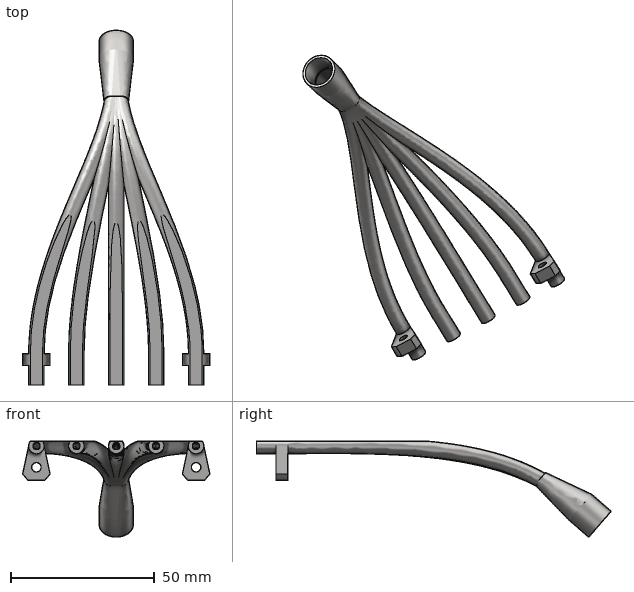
import cadquery as cq
import math

TOTAL_LENGTH = 123.3
TOTAL_WIDTH = 65.1
TOTAL_HEIGHT = 33.4

TUBE_COUNT = 5
TUBE_DIA = 5.4
BORE_DIA = 2.5
FLAT_Z = 1.7
STRAIGHT_LENGTH = 11.0

MEETING_Y = 105.2
MEETING_Z = -15.8
MEETING_PITCH = 0.44
MEETING_TILT = 36.0
OUTLET_PULL = 30.2
OUTLET_PULL_GAIN = 1.7
MEETING_PULL = 29.6

SOCKET_DIA = 12.0
SOCKET_BORE_DIA = 10.1
SOCKET_LENGTH = 9.0
SOCKET_TILT = 41.0
JOINT_Y = 98.6
JOINT_Z = -11.3
JOINT_HEIGHT = 5.7
JOINT_WIDTH = 8.6
SEAM_WIDTH = 0.7
CHAMBER_WIDE_DIA = 9.2
CHAMBER_NARROW_DIA = 4.5
CHAMBER_OVERLAP = 0.6

LUG_THICKNESS = 4.2
LUG_WIDTH = 9.6
LUG_FOOT_WIDTH = 5.8
LUG_SHOULDER_Z = -9.7
LUG_FOOT_Z = -12.0
LUG_HOLE_DIA = 3.2
LUG_HOLE_Z = -7.4

TUBE_PITCH = (TOTAL_WIDTH - LUG_WIDTH) / (TUBE_COUNT - 1)

socket_angle = math.radians(SOCKET_TILT)
socket_axis = cq.Vector(0, math.cos(socket_angle), -math.sin(socket_angle))
socket_end = cq.Vector(
    0,
    TOTAL_LENGTH - SOCKET_DIA / 2 * math.sin(socket_angle),
    FLAT_Z - TOTAL_HEIGHT + SOCKET_DIA / 2 * math.cos(socket_angle),
)
socket_start = socket_end - socket_axis * SOCKET_LENGTH
joint = cq.Vector(0, JOINT_Y, JOINT_Z)
tube_numbers = [i - (TUBE_COUNT - 1) / 2 for i in range(TUBE_COUNT)]


def socket_plane(origin):
    """Plane square to the socket axis, with its local X along the part's X."""
    return cq.Plane(origin=origin, xDir=(1, 0, 0), normal=socket_axis)


def swept_tube(number, diameter):
    """Round rod along the axis of one tube; number 0 is the middle tube."""
    outlet = cq.Vector(number * TUBE_PITCH, 0, 0)
    bend_start = outlet + cq.Vector(0, STRAIGHT_LENGTH, 0)
    bend_end = cq.Vector(number * MEETING_PITCH, MEETING_Y, MEETING_Z)
    angle = math.radians(MEETING_TILT)
    end_direction = cq.Vector(0, math.cos(angle), -math.sin(angle))
    outlet_pull = OUTLET_PULL + OUTLET_PULL_GAIN * number**2
    controls = [
        bend_start,
        bend_start + cq.Vector(0, outlet_pull, 0),
        bend_end - end_direction * MEETING_PULL,
        bend_end,
    ]
    path = cq.Wire.assembleEdges([
        cq.Edge.makeLine(outlet, bend_start),
        cq.Edge.makeBezier(controls),
    ])
    section = cq.Workplane("XZ", origin=outlet.toTuple()).circle(diameter / 2)
    return section.sweep(cq.Workplane(path))


def round_ended_outline(plane, half_flat, half_width, half_height, bulge):
    """Outline of two round ends joined by strips that rise by bulge at their middle."""
    edge_height = half_height - bulge
    outline = cq.Workplane(plane).moveTo(-half_flat, edge_height)
    for side in (1, -1):
        strip_end = (side * half_flat, side * edge_height)
        if bulge:
            outline = outline.threePointArc((0, side * half_height), strip_end)
        else:
            outline = outline.lineTo(*strip_end)
        round_end = (side * half_flat, -side * edge_height)
        outline = outline.threePointArc((side * half_width, 0), round_end)
    return outline.close().val()


def transition():
    """Skewed taper from the row of tubes to the round socket."""
    joint_flat = (JOINT_WIDTH - JOINT_HEIGHT) / 2
    narrow = round_ended_outline(
        socket_plane(joint), joint_flat, JOINT_WIDTH / 2, JOINT_HEIGHT / 2, 0
    )
    radius = SOCKET_DIA / 2
    bulge = radius - math.sqrt(radius**2 - (SEAM_WIDTH / 2) ** 2)
    wide = round_ended_outline(socket_plane(socket_start), SEAM_WIDTH / 2, radius, radius, bulge)
    return cq.Workplane(cq.Solid.makeLoft([narrow, wide], True))


def socket():
    return cq.Workplane(socket_plane(socket_start)).circle(SOCKET_DIA / 2).extrude(SOCKET_LENGTH)


def socket_cavity():
    """Socket bore and the tapered chamber that joins it to the tube bores."""
    bore = cq.Workplane(socket_plane(socket_start)).circle(SOCKET_BORE_DIA / 2).extrude(SOCKET_LENGTH)
    chamber_start = cq.Vector(0, MEETING_Y, MEETING_Z) - socket_axis * CHAMBER_OVERLAP
    narrow = cq.Workplane(socket_plane(chamber_start)).circle(CHAMBER_NARROW_DIA / 2)
    wide = cq.Workplane(socket_plane(socket_start)).circle(CHAMBER_WIDE_DIA / 2)
    chamber = cq.Solid.makeLoft([narrow.wires().val(), wide.wires().val()], True)
    return bore.union(cq.Workplane(chamber))


def lug(center_x):
    """Tapered plate that hangs from an outer tube, its sides running up to the tube's flanks."""
    half_profile = [
        (TUBE_DIA / 2, 0),
        (LUG_WIDTH / 2, LUG_SHOULDER_Z),
        (LUG_FOOT_WIDTH / 2, LUG_FOOT_Z),
    ]
    mirrored = [(-x, z) for x, z in reversed(half_profile)]
    return (
        cq.Workplane("XZ", origin=(center_x, STRAIGHT_LENGTH, 0))
        .polyline(half_profile + mirrored)
        .close()
        .extrude(LUG_THICKNESS)
    )


def lug_hole(center_x):
    return (
        cq.Workplane("XZ", origin=(center_x, STRAIGHT_LENGTH, LUG_HOLE_Z))
        .circle(LUG_HOLE_DIA / 2)
        .extrude(LUG_THICKNESS)
    )


outer_positions = [tube_numbers[0] * TUBE_PITCH, tube_numbers[-1] * TUBE_PITCH]
tubes = [swept_tube(number, TUBE_DIA).val() for number in tube_numbers]
lugs = [lug(center_x).val() for center_x in outer_positions]
body = transition().union(socket()).val().fuse(*tubes, *lugs)

trim_block = cq.Workplane(origin=(0, TOTAL_LENGTH / 2, FLAT_Z)).box(
    TOTAL_WIDTH, TOTAL_LENGTH, TUBE_DIA, centered=(True, True, False)
)

bores = [swept_tube(number, BORE_DIA).val() for number in tube_numbers]
lug_holes = [lug_hole(center_x).val() for center_x in outer_positions]
body = body.cut(trim_block.val(), socket_cavity().val(), *bores, *lug_holes)

result = cq.Workplane(body.clean()).solids()